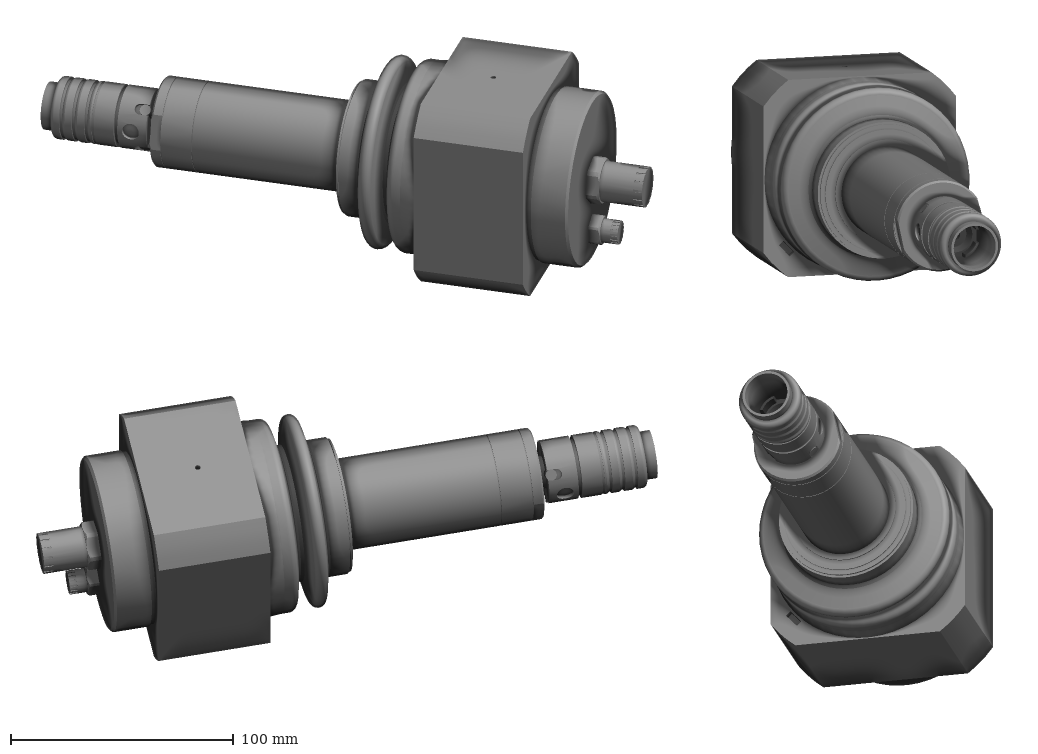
import cadquery as cq
import math


TOTAL_LENGTH = 280.5
SLEEVE_START = 5.0
SLEEVE_END = 50.2
CAP_START = 53.5
BAND_START = 58.5
TUBE_START = 73.2
COLLAR_START = 145.0
COLLAR_END = 154.0
RIM_NECK_START = 165.8
RIM_NECK_END = 167.5
BLOCK_START = 184.3
BLOCK_END = 235.5
DISC_START = 237.5
DISC_END = 254.7

NOSE_RADIUS = 11.0
SLEEVE_RADIUS = 14.3
SLEEVE_ROUNDING = 2.0
BORE_RADIUS = 9.8
BORE_DEPTH = 25.2
KEYED_BORE_DIAMETER = 17.5
KEYED_BORE_DEPTH = 5.5
KEYWAY_WIDTH = 6.2
KEYWAY_COUNT = 4
BORE_CONE_LARGE_RADIUS = 7.9
BORE_CONE_SMALL_RADIUS = 6.0
BORE_CONE_DEPTH = 2.8
CONTACT_DIAMETER = 9.8
CONTACT_HEIGHT = 1.7
CONTACT_HOLE_DIAMETER = 5.0
CONTACT_HOLE_DEPTH = 4.2
CONTACT_TIP_ANGLE = 118.0

GRIP_START = 9.5
GRIP_PITCH = 6.0
GRIP_COUNT = 3
GRIP_FLOOR = 1.0
GRIP_ROUNDING = 2.5
GRIP_DEPTH = 0.8
GRIP_END_GROOVE_START = 24.7
GRIP_END_GROOVE_WIDTH = 1.0
GRIP_END_GROOVE_DEPTH = 0.42

JOINT_GROOVE_START = 35.0
JOINT_GROOVE_WIDTH = 1.7
JOINT_GROOVE_DEPTH = 1.7

SIDE_HOLE_X = 43.0
SIDE_HOLE_DIAMETER = 7.9
SIDE_HOLE_DEPTH = 1.7
PIN_X = 48.5
PIN_DIAMETER = 5.0
PIN_TOP_RADIUS = 13.7
PIN_SLOT_START = 43.8
PIN_SLOT_DEPTH = 1.7

NECK_RADIUS = 7.5
TUBE_RADIUS = 20.8
CAP_CHAMFER = 0.8
BAND_GROOVE_WIDTH = 0.42
BAND_GROOVE_DEPTH = 0.42
FLAT_DISTANCE = 19.0
FLAT_TILT = 12.0

COLLAR_RADIUS = 31.1
SEAT_RADIUS = 23.5
SEAT_START = 142.5
RING_INNER_RADIUS = 28.0
RING_START = 143.0
CLIP_RADIUS = 30.3
CLIP_START = 143.6
CLIP_GROOVE_RADIUS = 29.5
CLIP_GROOVE_WIDTH = 0.5
RIM_RADIUS = 44.0
RIM_EDGE_RADIUS = 41.2
RIM_FOOT_RADIUS = 32.5
RIM_FOOT_WIDTH = 1.0
RIM_BACK_FOOT_WIDTH = 0.5
RIM_CONE_WIDTH = 2.0
RIM_END_RADIUS = 44.5
RIM_ROUND_WIDTH = 3.5
RIM_TAPER_START = 177.5

BLOCK_SIZE = 90.0
BLOCK_CORNER_DIAMETER = 112.2
VENT_X = 208.5
VENT_DIAMETER = 2.5
VENT_DEPTH = 5.5
FACE_SLOT_WIDTH = 7.3
FACE_SLOT_OUTER_RADIUS = 48.3
FACE_SLOT_INNER_RADIUS = 45.5
FACE_SLOT_DEPTH = 2.8
FACE_SLOT_ANGLE = -43.0

DISC_RADIUS = 40.0
DISC_NECK_RADIUS = 39.3
DISC_CHAMFER = 1.0
PLUG_DIAMETER = 18.5
PLUG_NUT_WIDTH = 20.0
PLUG_NUT_CORNER_RADIUS = 11.0
PLUG_NUT_END = 260.5
PLUG_NUT_ANGLE = -12.0
PLUG_KNURL_START = 276.3
PLUG_KNURL_COUNT = 14
SMALL_PLUG_DIAMETER = 11.0
SMALL_PLUG_Z = -25.0
SMALL_PLUG_END = 268.0
SMALL_PLUG_NUT_WIDTH = 13.2
SMALL_PLUG_NUT_CORNER_RADIUS = 7.3
SMALL_PLUG_NUT_END = 260.0
SMALL_PLUG_NUT_ANGLE = 0.0
SMALL_PLUG_KNURL_START = 264.5
SMALL_PLUG_KNURL_COUNT = 16
NUT_CHAMFER = 0.8
KNURL_WIDTH = 1.0
KNURL_DEPTH = 0.42

AXIS_START = (0, 0, 0)
AXIS_END = (1, 0, 0)
OVERLAP = 1.5


def turn(profile):
    """Revolve a closed X-radius outline about the X axis."""
    return profile.close().revolve(360, AXIS_START, AXIS_END)


def rod(start, end, radius):
    """Solid cylinder along X."""
    return cq.Workplane("YZ", origin=(start, 0, 0)).circle(radius).extrude(end - start)


def ring_groove(start, width, outer_radius, depth):
    """Cutter for a square groove around a cylinder."""
    outer = rod(start, start + width, outer_radius + OVERLAP)
    return outer.cut(rod(start, start + width, outer_radius - depth))


def radial_rod(x, angle, inner, outer, diameter):
    """Rod pointing away from the X axis; angle 0 points along +Y, 90 along +Z."""
    standing = cq.Workplane("XZ", origin=(x, -inner, 0)).circle(diameter / 2).extrude(outer - inner)
    return standing.rotate(AXIS_START, AXIS_END, angle + 180)


def radial_box(start, end, angle, inner, outer, width):
    """Box between two distances from the X axis, centred on a direction as in radial_rod."""
    box = cq.Workplane("XY").box(end - start, outer - inner, width)
    return box.translate(((start + end) / 2, (inner + outer) / 2, 0)).rotate(AXIS_START, AXIS_END, angle)


def sleeve():
    """Nose and grip sleeve, rounded at its front edge."""
    outline = (
        cq.Workplane("XY")
        .moveTo(0, 0)
        .lineTo(0, NOSE_RADIUS)
        .lineTo(SLEEVE_START, NOSE_RADIUS)
        .lineTo(SLEEVE_START, SLEEVE_RADIUS - SLEEVE_ROUNDING)
        .radiusArc((SLEEVE_START + SLEEVE_ROUNDING, SLEEVE_RADIUS), SLEEVE_ROUNDING)
        .lineTo(SLEEVE_END, SLEEVE_RADIUS)
        .lineTo(SLEEVE_END, 0)
    )
    body = turn(outline)
    for index in range(GRIP_COUNT):
        body = body.cut(grip_groove(GRIP_START + index * GRIP_PITCH))
    body = body.cut(
        ring_groove(GRIP_END_GROOVE_START, GRIP_END_GROOVE_WIDTH, SLEEVE_RADIUS, GRIP_END_GROOVE_DEPTH)
    )
    return body.cut(ring_groove(JOINT_GROOVE_START, JOINT_GROOVE_WIDTH, SLEEVE_RADIUS, JOINT_GROOVE_DEPTH))


def grip_groove(start):
    """Cutter for a groove with a square front wall and a rounded rear shoulder."""
    floor = SLEEVE_RADIUS - GRIP_DEPTH
    shoulder = start + GRIP_FLOOR
    outline = (
        cq.Workplane("XY")
        .moveTo(start, floor)
        .lineTo(shoulder, floor)
        .radiusArc((shoulder + GRIP_ROUNDING, SLEEVE_RADIUS), GRIP_ROUNDING)
        .lineTo(shoulder + GRIP_ROUNDING, SLEEVE_RADIUS + OVERLAP)
        .lineTo(start, SLEEVE_RADIUS + OVERLAP)
    )
    return turn(outline)


def plug_bore():
    """Cutter for the stepped socket, leaving a drilled contact standing on its floor."""
    keyed_end = BORE_DEPTH + KEYED_BORE_DEPTH
    floor = keyed_end + BORE_CONE_DEPTH
    contact_top = floor - CONTACT_HEIGHT
    cone = (
        cq.Workplane("XY")
        .moveTo(keyed_end, 0)
        .lineTo(keyed_end, BORE_CONE_LARGE_RADIUS)
        .lineTo(floor, BORE_CONE_SMALL_RADIUS)
        .lineTo(floor, 0)
    )
    cutter = rod(0, BORE_DEPTH, BORE_RADIUS)
    cutter = cutter.union(rod(BORE_DEPTH, keyed_end, KEYED_BORE_DIAMETER / 2))
    cutter = cutter.union(turn(cone))
    for index in range(KEYWAY_COUNT):
        angle = index * 360 / KEYWAY_COUNT
        cutter = cutter.union(radial_box(BORE_DEPTH, keyed_end, angle, 0, BORE_RADIUS, KEYWAY_WIDTH))
    cutter = cutter.cut(rod(contact_top, floor, CONTACT_DIAMETER / 2))

    hole_radius = CONTACT_HOLE_DIAMETER / 2
    hole_end = contact_top + CONTACT_HOLE_DEPTH
    tip = hole_end + hole_radius / math.tan(math.radians(CONTACT_TIP_ANGLE / 2))
    hole = (
        cq.Workplane("XY")
        .moveTo(contact_top, 0)
        .lineTo(contact_top, hole_radius)
        .lineTo(hole_end, hole_radius)
        .lineTo(tip, 0)
    )
    return cutter.union(turn(hole))


def add_sleeve_pins(body):
    """Four pins on the diagonals, each in a slot open to the rear, and a blind hole on each Y side."""
    slot_floor = SLEEVE_RADIUS - PIN_SLOT_DEPTH
    slot_top = SLEEVE_RADIUS + OVERLAP
    slot_nose_x = PIN_SLOT_START + PIN_DIAMETER / 2
    for angle in (45, 135, 225, 315):
        slot_nose = radial_rod(slot_nose_x, angle, slot_floor, slot_top, PIN_DIAMETER)
        slot = radial_box(slot_nose_x, SLEEVE_END, angle, slot_floor, slot_top, PIN_DIAMETER)
        pin = radial_rod(PIN_X, angle, NECK_RADIUS, PIN_TOP_RADIUS, PIN_DIAMETER)
        body = body.cut(slot_nose).cut(slot).union(pin)
    hole_core = rod(0, SLEEVE_END, SLEEVE_RADIUS - SIDE_HOLE_DEPTH)
    for angle in (0, 180):
        hole = radial_rod(SIDE_HOLE_X, angle, NECK_RADIUS, slot_top, SIDE_HOLE_DIAMETER)
        body = body.cut(hole.cut(hole_core))
    return body


def cap_and_tube():
    """Neck, cap with two wrench flats, band and long tube."""
    cap = rod(CAP_START, BAND_START, TUBE_RADIUS).faces("<X").chamfer(CAP_CHAMFER)
    for angle in (-FLAT_TILT, 180 - FLAT_TILT):
        flat = radial_box(
            CAP_START, BAND_START, angle, FLAT_DISTANCE, TUBE_RADIUS + OVERLAP, 2 * TUBE_RADIUS
        )
        cap = cap.cut(flat)
    body = cap.union(rod(BAND_START, SEAT_START, TUBE_RADIUS))
    for start in (BAND_START, TUBE_START):
        body = body.cut(ring_groove(start, BAND_GROOVE_WIDTH, TUBE_RADIUS, BAND_GROOVE_DEPTH))
    return body.union(rod(SLEEVE_END, CAP_START, NECK_RADIUS))


def collar():
    """Stepped front seat and the collar behind it."""
    groove_start = COLLAR_START - CLIP_GROOVE_WIDTH
    body = rod(SEAT_START, RING_START, SEAT_RADIUS)
    body = body.union(rod(RING_START, CLIP_START, RING_INNER_RADIUS))
    body = body.union(rod(CLIP_START, groove_start, CLIP_RADIUS))
    body = body.union(rod(groove_start, COLLAR_START, CLIP_GROOVE_RADIUS))
    return body.union(rod(COLLAR_START, COLLAR_END, COLLAR_RADIUS))


def rims():
    """Free-standing round rim, the gap behind it and the rim that meets the block."""
    front_foot = COLLAR_END + RIM_FOOT_WIDTH
    front_edge = front_foot + RIM_CONE_WIDTH
    back_foot = RIM_NECK_START - RIM_BACK_FOOT_WIDTH
    back_edge = back_foot - RIM_CONE_WIDTH
    second_foot = RIM_NECK_END + RIM_FOOT_WIDTH
    second_edge = second_foot + RIM_CONE_WIDTH
    outline = (
        cq.Workplane("XY")
        .moveTo(COLLAR_END, 0)
        .lineTo(COLLAR_END, COLLAR_RADIUS)
        .lineTo(front_foot, RIM_FOOT_RADIUS)
        .lineTo(front_edge, RIM_EDGE_RADIUS)
        .threePointArc(((front_edge + back_edge) / 2, RIM_RADIUS), (back_edge, RIM_EDGE_RADIUS))
        .lineTo(back_foot, RIM_FOOT_RADIUS)
        .lineTo(RIM_NECK_START, COLLAR_RADIUS)
        .lineTo(RIM_NECK_END, COLLAR_RADIUS)
        .lineTo(second_foot, RIM_FOOT_RADIUS)
        .lineTo(second_edge, RIM_EDGE_RADIUS)
        .radiusArc((second_edge + RIM_ROUND_WIDTH, RIM_RADIUS), RIM_ROUND_WIDTH)
        .lineTo(RIM_TAPER_START, RIM_RADIUS)
        .lineTo(BLOCK_START, RIM_END_RADIUS)
        .lineTo(BLOCK_START, 0)
    )
    return turn(outline)


def block():
    """Square block with turned corners, a vent hole on top and a slot in its front face."""
    length = BLOCK_END - BLOCK_START
    square = cq.Workplane("YZ", origin=(BLOCK_START, 0, 0)).rect(BLOCK_SIZE, BLOCK_SIZE).extrude(length)
    body = square.intersect(rod(BLOCK_START, BLOCK_END, BLOCK_CORNER_DIAMETER / 2))
    top = BLOCK_SIZE / 2
    body = body.cut(radial_rod(VENT_X, 90, top - VENT_DEPTH, top, VENT_DIAMETER))
    slot = radial_box(
        BLOCK_START,
        BLOCK_START + FACE_SLOT_DEPTH,
        FACE_SLOT_ANGLE,
        FACE_SLOT_INNER_RADIUS,
        FACE_SLOT_OUTER_RADIUS,
        FACE_SLOT_WIDTH,
    )
    return body.cut(slot)


def rear_disc():
    """Round disc on a slightly smaller neck behind the block."""
    disc = rod(DISC_START, DISC_END, DISC_RADIUS).faces(">X").chamfer(DISC_CHAMFER)
    return disc.union(rod(BLOCK_END, DISC_START, DISC_NECK_RADIUS))


def connector(z, diameter, end, nut_width, nut_corner_radius, nut_end, nut_angle, knurl_start, knurl_count):
    """Hexagonal nut with rounded corners and a round plug knurled at its end."""
    across_corners = nut_width / math.cos(math.radians(30))
    hexagon = (
        cq.Workplane("YZ", origin=(DISC_END, 0, 0))
        .polygon(6, across_corners)
        .extrude(nut_end - DISC_END)
        .rotate(AXIS_START, AXIS_END, 90 + nut_angle)
    )
    nut = hexagon.intersect(rod(DISC_END, nut_end, nut_corner_radius).faces(">X").chamfer(NUT_CHAMFER))
    body = nut.union(rod(DISC_END, end, diameter / 2))
    radius = diameter / 2
    for index in range(knurl_count):
        angle = (index + 0.5) * 360 / knurl_count
        body = body.cut(
            radial_box(knurl_start, end, angle, radius - KNURL_DEPTH, radius + OVERLAP, KNURL_WIDTH)
        )
    return body.translate((0, 0, z))


front_end = add_sleeve_pins(sleeve()).cut(plug_bore())
main_plug = connector(
    0,
    PLUG_DIAMETER,
    TOTAL_LENGTH,
    PLUG_NUT_WIDTH,
    PLUG_NUT_CORNER_RADIUS,
    PLUG_NUT_END,
    PLUG_NUT_ANGLE,
    PLUG_KNURL_START,
    PLUG_KNURL_COUNT,
)
small_plug = connector(
    SMALL_PLUG_Z,
    SMALL_PLUG_DIAMETER,
    SMALL_PLUG_END,
    SMALL_PLUG_NUT_WIDTH,
    SMALL_PLUG_NUT_CORNER_RADIUS,
    SMALL_PLUG_NUT_END,
    SMALL_PLUG_NUT_ANGLE,
    SMALL_PLUG_KNURL_START,
    SMALL_PLUG_KNURL_COUNT,
)

result = (
    front_end.union(cap_and_tube())
    .union(collar())
    .union(rims())
    .union(block())
    .union(rear_disc())
    .union(main_plug)
    .union(small_plug)
)